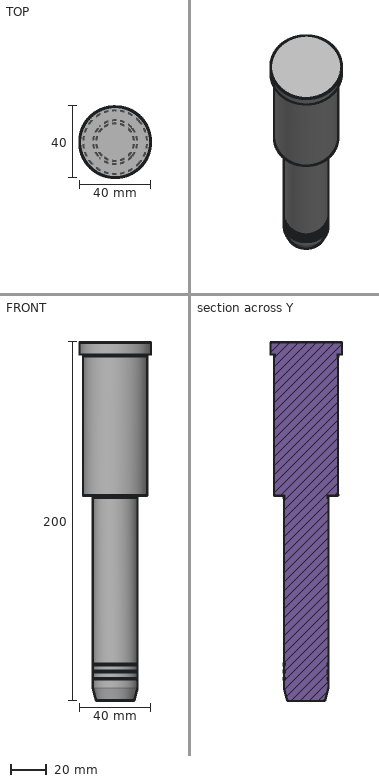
import cadquery as cq

total_length = 200.0
head_diameter = 40.0
sleeve_diameter = 36.0
pin_diameter = 25.0
tip_diameter = 21.5

head_thickness = 7.0
sleeve_bottom = 114.5
nose_height = 7.2

head_chamfer = 0.5
sleeve_chamfer = 0.5
tip_chamfer = 0.5
head_relief_radius = 0.5
pin_relief_width = 1.2
pin_relief_depth = 0.5

groove_count = 3
groove_pitch = 4.0
groove_radius = 0.5
lowest_groove_center = 12.5

head_bottom = total_length - head_thickness
pin_radius = pin_diameter / 2
tip_radius = tip_diameter / 2


def cylinder(diameter, bottom, top):
    """Solid cylinder on the Z axis between two heights."""
    return cq.Workplane("XY").workplane(offset=bottom).circle(diameter / 2).extrude(top - bottom)


def ring_cutter(diameter, depth, bottom, width):
    """Ring that cuts a groove of the given depth into a cylinder."""
    outer = cylinder(diameter, bottom, bottom + width)
    inner = cylinder(diameter - 2 * depth, bottom, bottom + width)
    return outer.cut(inner)


def round_groove_cutter(diameter, radius, center_height):
    """Torus that cuts a half-round groove into a cylinder."""
    return (
        cq.Workplane("XZ")
        .center(diameter / 2, center_height)
        .circle(radius)
        .revolve(360, (-diameter / 2, 0, 0), (-diameter / 2, 1, 0))
    )


def make_nose():
    """Tapered nose that narrows from the pin and ends in a small bevel."""
    outline = [
        (0, 0),
        (tip_radius - tip_chamfer, 0),
        (tip_radius, tip_chamfer),
        (pin_radius, nose_height),
        (0, nose_height),
    ]
    return cq.Workplane("XZ").polyline(outline).close().revolve(360, (0, 0, 0), (0, 1, 0))


head = cylinder(head_diameter, head_bottom, total_length).faces(">Z").edges().chamfer(head_chamfer)
sleeve = cylinder(sleeve_diameter, sleeve_bottom, head_bottom).faces("<Z").edges().chamfer(sleeve_chamfer)
pin = cylinder(pin_diameter, nose_height, sleeve_bottom)
result = head.union(sleeve).union(pin).union(make_nose())

result = result.cut(round_groove_cutter(sleeve_diameter, head_relief_radius, head_bottom - head_relief_radius))
result = result.cut(
    ring_cutter(pin_diameter, pin_relief_depth, sleeve_bottom - pin_relief_width, pin_relief_width)
)

for index in range(groove_count):
    groove_center = lowest_groove_center + index * groove_pitch
    result = result.cut(round_groove_cutter(pin_diameter, groove_radius, groove_center))